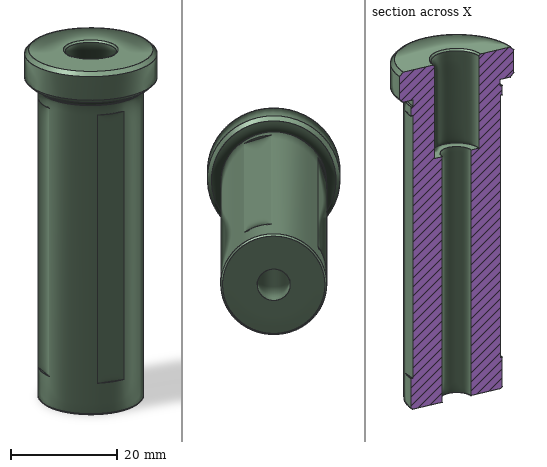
import cadquery as cq
import math

total_length = 69.85
head_diameter = 25.0
head_height = 6.3
head_chamfer = 0.8
body_diameter = 20.0
base_chamfer = 0.35

neck_diameter = 19.15
neck_height = 1.25

flat_count = 4
flat_width = 5.4
flat_bottom = 6.4
flat_top = 60.35

bore_diameter = 6.2
counterbore_diameter = 9.65
counterbore_depth = 2 * counterbore_diameter
counterbore_chamfer = 0.35

body_radius = body_diameter / 2
head_bottom = total_length - head_height
neck_bottom = head_bottom - neck_height
flat_length = flat_top - flat_bottom
flat_distance = math.sqrt(body_radius**2 - (flat_width / 2) ** 2)


def cylinder(diameter, bottom, height):
    return cq.Workplane("XY").workplane(offset=bottom).circle(diameter / 2).extrude(height)


def make_shank():
    body = cylinder(body_diameter, 0, neck_bottom).faces("<Z").chamfer(base_chamfer)
    neck = cylinder(neck_diameter, neck_bottom, neck_height)
    return body.union(neck)


def make_head():
    return cylinder(head_diameter, head_bottom, head_height).edges().chamfer(head_chamfer)


def cut_flats(part):
    cutter = (
        cq.Workplane("XY")
        .box(body_radius, body_diameter, flat_length, centered=(False, True, False))
        .translate((flat_distance, 0, flat_bottom))
    )
    for index in range(flat_count):
        angle = index * 360 / flat_count
        part = part.cut(cutter.rotate((0, 0, 0), (0, 0, 1), angle))
    return part


def cut_bore(part):
    return (
        part.faces(">Z")
        .workplane(origin=(0, 0, total_length))
        .cboreHole(bore_diameter, counterbore_diameter, counterbore_depth)
        .faces(">Z")
        .edges(cq.selectors.RadiusNthSelector(0))
        .chamfer(counterbore_chamfer)
    )


result = cut_bore(cut_flats(make_shank().union(make_head())))